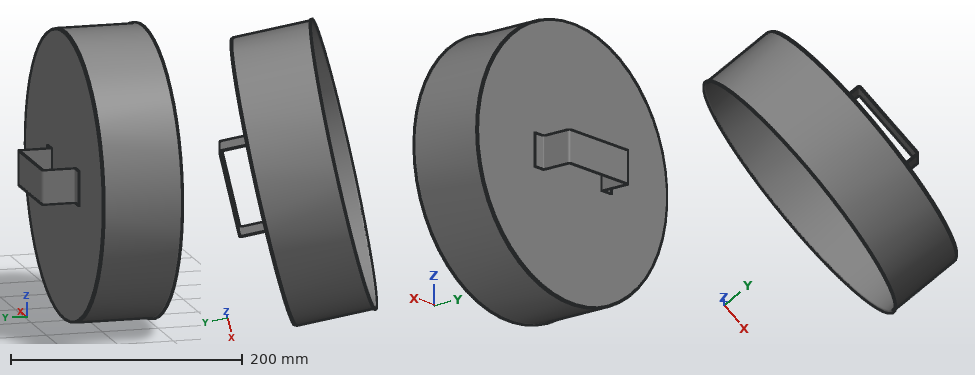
import cadquery as cq

rim_diameter = 257.2
total_depth = 101.5
sheet = 1.0

flare_radius = 1.0
rim_radius = rim_diameter / 2
shell_radius = rim_radius - flare_radius
bore_radius = shell_radius - sheet

plate_diameter = 253.5
plate_thickness = 1.5

handle_height = 30.0
handle_width = 79.7
foot_span = 102.4
strip_width = 30.5
grip_bend_radius = 2 * sheet
foot_bend_radius = 0.8

plate_back = total_depth - handle_height
shell_back = plate_back - plate_thickness


def make_shell():
    """Revolve the wall section, with radius as X, about the Y axis."""
    section = (
        cq.Workplane("XY")
        .moveTo(bore_radius, shell_back)
        .lineTo(shell_radius, shell_back)
        .lineTo(shell_radius, sheet + flare_radius)
        .radiusArc((rim_radius, sheet), -flare_radius)
        .lineTo(rim_radius, 0)
        .radiusArc((bore_radius, sheet + flare_radius), sheet + flare_radius)
        .close()
    )
    return section.revolve(360, (0, 0, 0), (0, 1, 0))


def make_back_plate():
    return (
        cq.Workplane("XZ", origin=(0, plate_back, 0))
        .circle(plate_diameter / 2)
        .extrude(plate_thickness)
    )


def strip_block(width, start, end):
    """Box centred on X and Z, as deep in Z as the handle strip, from start to end along Y."""
    return cq.Workplane("XY").box(width, end - start, strip_width).translate((0, (start + end) / 2, 0))


def make_handle():
    opening_width = handle_width - 2 * sheet
    grip_back = plate_back + handle_height
    feet = strip_block(foot_span, plate_back, plate_back + sheet)
    bracket = strip_block(handle_width, plate_back, grip_back)
    opening = strip_block(opening_width, plate_back, grip_back - sheet)

    bracket = bracket.edges("|Z and >Y").fillet(grip_bend_radius)
    opening = opening.edges("|Z and >Y").fillet(grip_bend_radius - sheet)
    blank = bracket.union(feet)
    for side in (-1, 1):
        corner = (side * handle_width / 2, plate_back + sheet, 0)
        blank = blank.edges(cq.selectors.NearestToPointSelector(corner)).fillet(foot_bend_radius)
    return blank.cut(opening)


shell = make_shell()
back_plate = make_back_plate()
handle = make_handle()

result = cq.Compound.makeCompound([shell.val(), back_plate.val(), handle.val()])